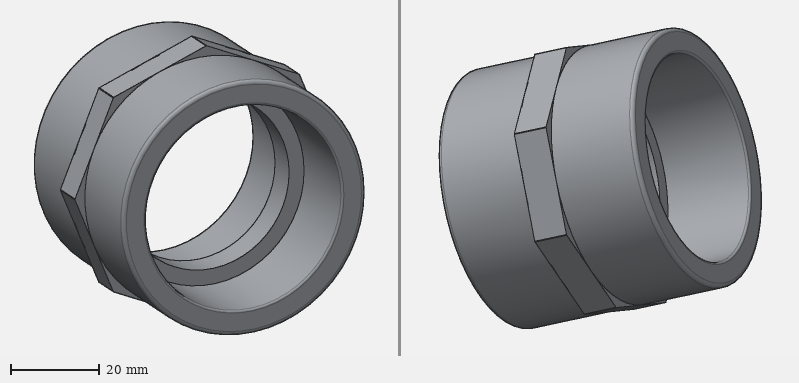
import cadquery as cq
import math

length = 50.8
barrel_diameter = 60.0
collar_width = 8.25
collar_corner_diameter = 64.85
collar_sides = 8

socket_diameter = 48.3
socket_depth = 21.4
through_diameter = 40.9

outer_edge_radius = 1.0
socket_edge_radius = 0.5


def cylinder(diameter, width, start):
    """Cylinder along X that begins at x = start."""
    return cq.Workplane("YZ", origin=(start, 0, 0)).circle(diameter / 2).extrude(width)


def make_barrel():
    """Outer tube body with rounded ends."""
    return cylinder(barrel_diameter, length, -length / 2).edges("%CIRCLE").fillet(outer_edge_radius)


def make_collar():
    """Octagonal wrench collar tangent to the barrel, its corners turned down slightly."""
    start = -collar_width / 2
    sharp_corner_diameter = barrel_diameter / math.cos(math.pi / collar_sides)
    octagon = (
        cq.Workplane("YZ", origin=(start, 0, 0))
        .polygon(collar_sides, sharp_corner_diameter)
        .extrude(collar_width)
    )
    return octagon.intersect(cylinder(collar_corner_diameter, collar_width, start))


def cut_bore(body):
    """Through bore with a wider socket at each end and rounded socket mouths."""
    body = body.cut(cylinder(through_diameter, length, -length / 2))
    for start in (-length / 2, length / 2 - socket_depth):
        body = body.cut(cylinder(socket_diameter, socket_depth, start))
    for end in ("<X", ">X"):
        mouth = body.faces(end).edges(cq.selectors.RadiusNthSelector(0))
        body = mouth.fillet(socket_edge_radius)
    return body


result = cut_bore(make_barrel().union(make_collar()))